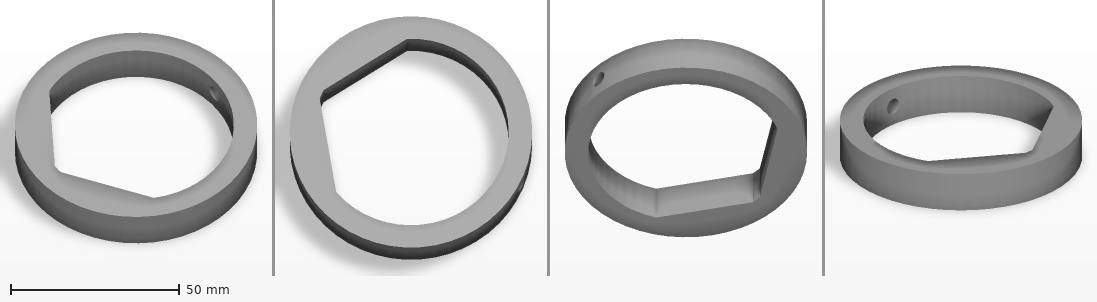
import cadquery as cq
import math

outer_radius = 36.0
bore_radius = 29.0
height = 12.0

web_end_x = 26.1
notch_half_width = 1.45

hole_diameter = 5.0


def bore_y(x):
    """Y of the lower half of the bore circle at the given X."""
    return -math.sqrt(bore_radius**2 - x**2)


right_side = (web_end_x, bore_y(web_end_x))
left_side = (-web_end_x, bore_y(web_end_x))
right_notch = (notch_half_width, bore_y(notch_half_width))
left_notch = (-notch_half_width, bore_y(notch_half_width))

bore = (
    cq.Workplane("XY")
    .moveTo(*right_side)
    .threePointArc((0, bore_radius), left_side)
    .lineTo(*left_notch)
    .threePointArc((0, -bore_radius), right_notch)
    .close()
    .extrude(height)
)

screw_hole = (
    cq.Workplane("XZ")
    .center(0, height / 2)
    .circle(hole_diameter / 2)
    .extrude(-outer_radius)
)

ring = cq.Workplane("XY").circle(outer_radius).extrude(height)
result = ring.cut(bore).cut(screw_hole)